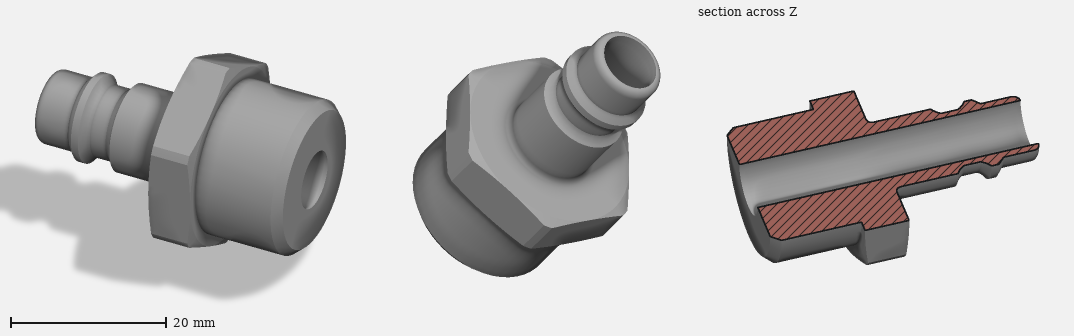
import cadquery as cq
import math

total_length = 38.0
collar_start = 5.05
collar_crest_start = 6.0
collar_crest_end = 7.0
groove_start = 8.17
groove_end = 10.4
shank_start = 11.5
hex_start = 20.0
hex_end = 26.0

bore_diameter = 7.85
groove_diameter = 9.75
tip_diameter = 10.0
shank_diameter = 12.0
thread_diameter = 20.95

across_flats = 24.0
across_corners = 27.05
hex_bevel_angle = math.radians(15)
tip_round = 1.0
root_fillet = 0.72
flank_arc_radius = 3.0
thread_chamfer_length = 1.2
thread_chamfer_depth = 1.1

bore_radius = bore_diameter / 2
groove_radius = groove_diameter / 2
tip_radius = tip_diameter / 2
shank_radius = shank_diameter / 2
thread_radius = thread_diameter / 2
flat_radius = across_flats / 2
corner_radius = across_corners / 2


def revolve_about_x(profile):
    """Close a profile drawn in the XY plane and turn it about the X axis."""
    return profile.close().revolve(360, (0, 0, 0), (1, 0, 0))


def make_nipple():
    """Rounded tip, locking collar, groove with concave flanks and shank blended into the hexagon."""
    profile = (
        cq.Workplane("XY")
        .lineTo(0, tip_radius - tip_round)
        .radiusArc((tip_round, tip_radius), tip_round)
        .lineTo(collar_start, tip_radius)
        .lineTo(collar_crest_start, shank_radius)
        .lineTo(collar_crest_end, shank_radius)
        .radiusArc((groove_start, groove_radius), -flank_arc_radius)
        .lineTo(groove_end, groove_radius)
        .radiusArc((shank_start, shank_radius), -flank_arc_radius)
        .lineTo(hex_start - root_fillet, shank_radius)
        .radiusArc((hex_start, shank_radius + root_fillet), -root_fillet)
        .lineTo(hex_start, 0)
    )
    return revolve_about_x(profile)


def make_hexagon():
    """Hexagon with corners up and down, trimmed by a cylinder with beveled ends."""
    hex_length = hex_end - hex_start
    sharp_corners = across_flats / math.cos(math.radians(30))
    prism = (
        cq.Workplane("YZ", origin=(hex_start, 0, 0))
        .transformed(rotate=(0, 0, 90))
        .polygon(6, sharp_corners)
        .extrude(hex_length)
    )
    bevel_length = (corner_radius - flat_radius) * math.tan(hex_bevel_angle)
    envelope = (
        cq.Workplane("XY")
        .moveTo(hex_start, 0)
        .lineTo(hex_start, flat_radius)
        .lineTo(hex_start + bevel_length, corner_radius)
        .lineTo(hex_end - bevel_length, corner_radius)
        .lineTo(hex_end, flat_radius)
        .lineTo(hex_end, 0)
    )
    return prism.intersect(revolve_about_x(envelope))


def make_thread_body():
    """Plain cylinder behind the hexagon, chamfered at its free end."""
    profile = (
        cq.Workplane("XY")
        .moveTo(hex_end, 0)
        .lineTo(hex_end, thread_radius)
        .lineTo(total_length - thread_chamfer_length, thread_radius)
        .lineTo(total_length, thread_radius - thread_chamfer_depth)
        .lineTo(total_length, 0)
    )
    return revolve_about_x(profile)


def make_bore():
    """Straight bore through the whole part."""
    return cq.Workplane("YZ").circle(bore_radius).extrude(total_length)


result = make_nipple().union(make_hexagon()).union(make_thread_body()).cut(make_bore())